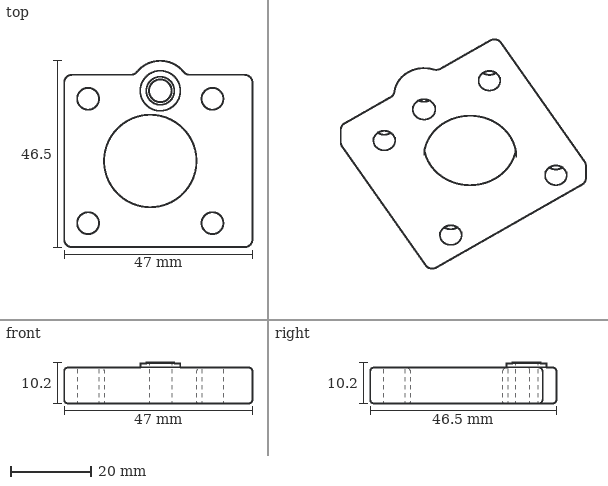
import cadquery as cq

plate_width = 47.0
plate_depth = 43.0
plate_thickness = 9.0
corner_radius = 2.0
edge_radius = 1.0

bore_diameter = 23.0
bore_top_radius = 1.0
bore_bottom_radius = 0.5
bolt_spacing = 31.0
bolt_hole_diameter = 5.4

bore_to_side = plate_depth / 2

lobe_radius = 7.5
lobe_blend_radius = 2.0
lobe_x = 2.5
lobe_y = 17.5
hub_diameter = 10.0
hub_height = 1.0
rim_diameter = 7.0
rim_height = 0.25
hub_hole_diameter = 5.6

total_height = plate_thickness + hub_height + rim_height


def make_body():
    """Plate and lobe with rounded vertical corners and rounded outer edges."""
    plate = cq.Workplane("XY", origin=(-bore_to_side, -bore_to_side, 0))
    plate = plate.box(plate_width, plate_depth, plate_thickness, centered=False)
    plate = plate.edges("|Z").fillet(corner_radius)

    lobe = cq.Workplane("XY").center(lobe_x, lobe_y).circle(lobe_radius).extrude(plate_thickness)
    body = plate.union(lobe)

    back_y = plate_depth - bore_to_side
    lobe_corners = cq.selectors.BoxSelector(
        (lobe_x - lobe_radius, back_y - edge_radius, 0),
        (lobe_x + lobe_radius, back_y + edge_radius, plate_thickness),
    )
    body = body.edges("|Z").edges(lobe_corners).fillet(lobe_blend_radius)
    return body.faces("<Z or >Z").edges().fillet(edge_radius)


def cut_bore(body):
    """Main bore, rounded at both ends, less so at the bottom."""
    body = body.cut(cq.Workplane("XY").circle(bore_diameter / 2).extrude(plate_thickness))
    bore_rim = cq.selectors.RadiusNthSelector(-1)
    body = body.faces(">Z").edges("%CIRCLE").edges(bore_rim).fillet(bore_top_radius)
    return body.faces("<Z").edges("%CIRCLE").edges(bore_rim).fillet(bore_bottom_radius)


def cut_bolt_holes(body):
    """Four plain through holes on a square pattern about the bore."""
    holes = (
        cq.Workplane("XY")
        .rect(bolt_spacing, bolt_spacing, forConstruction=True)
        .vertices()
        .circle(bolt_hole_diameter / 2)
        .extrude(plate_thickness)
    )
    return body.cut(holes)


def add_hub(body):
    """Low hub with a thin raised rim around a through hole."""
    hub = (
        cq.Workplane("XY", origin=(lobe_x, lobe_y, plate_thickness))
        .circle(hub_diameter / 2)
        .extrude(hub_height)
        .faces(">Z")
        .workplane()
        .circle(rim_diameter / 2)
        .extrude(rim_height)
    )
    hole = cq.Workplane("XY").center(lobe_x, lobe_y).circle(hub_hole_diameter / 2).extrude(total_height)
    return body.union(hub).cut(hole)


result = add_hub(cut_bolt_holes(cut_bore(make_body())))